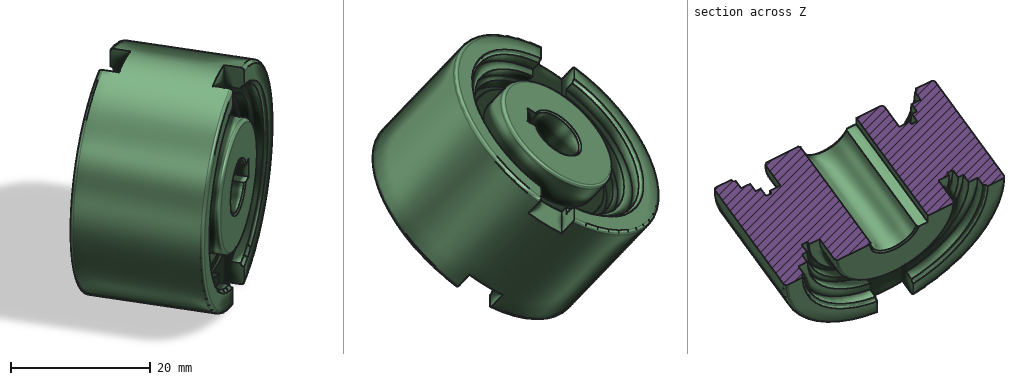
import cadquery as cq

width = 20.0
outer_radius = 18.5
hub_radius = 10.0
edge_round = 0.5

mouth_radius = 15.0
mouth_depth = 2.0
ledge_radius = 13.5
ledge_depth = 3.5
groove_radius = 12.65
groove_depth = 5.0

collar_radius = 11.75
collar_setback = 4.5

bore_radius = 4.0
bore_chamfer = 0.25
key_width = 3.0
key_reach = 5.45

slot_width = 6.0
slot_depth = 3.0

axis_start = (0, 0, 0)
axis_end = (1, 0, 0)


def cylinder(radius, start, length):
    """Cylinder about the X axis, running towards +X from start."""
    return cq.Workplane("YZ", origin=(start, 0, 0)).circle(radius).extrude(length)


def rounded_cylinder(radius):
    """Full-width cylinder about the X axis with both rims rounded."""
    return cylinder(radius, 0, width).edges("%CIRCLE").fillet(edge_round)


def make_mouth_flare():
    """Ring that rounds the outer edge of the recess mouth."""
    return (
        cq.Workplane("XY")
        .moveTo(0, mouth_radius)
        .lineTo(0, mouth_radius + edge_round)
        .radiusArc((edge_round, mouth_radius), edge_round)
        .close()
        .revolve(360, axis_start, axis_end)
    )


def make_end_recess():
    """Stepped annular recess around the hub, opening at x = 0."""
    recess = cylinder(mouth_radius, 0, mouth_depth)
    recess = recess.union(cylinder(ledge_radius, 0, ledge_depth))
    recess = recess.union(cylinder(groove_radius, 0, groove_depth))
    recess = recess.union(make_mouth_flare())
    collar = cylinder(collar_radius, collar_setback, groove_depth - collar_setback)
    return recess.cut(rounded_cylinder(hub_radius)).cut(collar)


def make_end_slots():
    """Opposed slots through the rim at x = 0, at +Z and -Z, clear of the hub."""
    bar = cq.Workplane("XY").box(
        slot_depth, slot_width, 2 * outer_radius, centered=(False, True, True)
    )
    return bar.cut(cylinder(hub_radius, 0, slot_depth))


def make_bore_chamfer():
    """Cone that breaks the bore edge on the hub face at x = 0."""
    return (
        cq.Workplane("XY")
        .polyline([
            (0, 0),
            (0, bore_radius + bore_chamfer),
            (bore_chamfer, bore_radius),
            (bore_chamfer, 0),
        ])
        .close()
        .revolve(360, axis_start, axis_end)
    )


def mirror_to_far_end(tool):
    """Copy of an end feature, mirrored about the middle of the width."""
    return tool.mirror("YZ", (width / 2, 0, 0))


def make_keyed_bore():
    """Through bore with a rectangular keyway towards +Y."""
    keyway = cq.Workplane("XY").box(width, key_reach, key_width, centered=(False, False, True))
    return cylinder(bore_radius, 0, width).union(keyway)


result = rounded_cylinder(outer_radius)
for end_tool in (make_end_recess(), make_end_slots(), make_bore_chamfer()):
    result = result.cut(end_tool).cut(mirror_to_far_end(end_tool))
result = result.cut(make_keyed_bore())